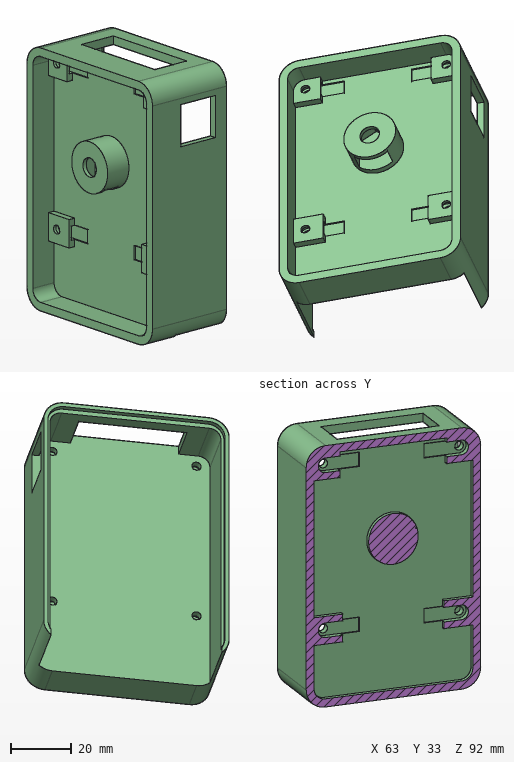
import cadquery as cq
import math

width = 63.0
depth = 33.0
height = 92.0
corner_radius = 7.0
end_wall = 3.0
inner_radius = corner_radius - end_wall
tray_width = 57.0
inner_height = height - 2 * end_wall
front_y = -depth / 2
back_y = depth / 2

tray_depth = 9.5
rear_depth = 20.3
tray_floor_y = front_y + tray_depth
partition_back_y = back_y - rear_depth

rear_width = 58.05
lid_rim = 1.5
lid_recess_depth = 1.75

window_width = 36.8
window_back_margin = 6.2

port_back_margin = 5.1
port_bottom_z = 22.1
port_top_z = 36.8

boss_diameter = 18.0
boss_z = 10.0
boss_hole_diameter = 6.7
boss_lip = 1.5
nut_width = 11.5
nut_thickness = 6.0

tab_thickness = 2.5
screw_diameter = 3.0
screw_x = 24.5
upper_screw_z = 39.0
lower_screw_z = -18.95
upper_tab_width = 9.3
lower_tab_width = 10.3
upper_tab_drop = 5.1
lower_tab_height = 9.9
insert_diameter = 5.0
insert_slot_inner_x = 11.7
insert_slot_floor_depth = 0.55
insert_slot_height = 2.0


def block(x_range, y_range, z_range):
    """Box spanning the given (low, high) ranges."""
    sizes = [high - low for low, high in (x_range, y_range, z_range)]
    lows = (x_range[0], y_range[0], z_range[0])
    return cq.Workplane("XY").box(*sizes, centered=False).translate(lows)


def rod(diameter, x, z, y_start, y_end):
    """Cylinder along +Y."""
    profile = cq.Workplane("XZ", origin=(x, y_start, z)).circle(diameter / 2)
    return profile.extrude(y_start - y_end)


def rounded_prism(x_size, z_size, radius, y_start, y_end):
    """Box along Y with its four long edges rounded."""
    prism = block((-x_size / 2, x_size / 2), (y_start, y_end), (-z_size / 2, z_size / 2))
    return prism.edges("|Y").fillet(radius)


def make_shell():
    shell = rounded_prism(width, height, corner_radius, front_y, back_y)
    tray = rounded_prism(tray_width, inner_height, inner_radius, front_y, tray_floor_y)
    return shell.cut(tray)


def cut_rear_compartment(body):
    """Hollow out behind the partition, open at the back and through the bottom wall."""
    cavity = rounded_prism(rear_width, inner_height, inner_radius, partition_back_y, back_y)
    half = rear_width / 2
    bottom_opening = block((-half, half), (partition_back_y, back_y), (-height / 2, 0))
    lid_recess = rounded_prism(
        width - 2 * lid_rim,
        height - 2 * lid_rim,
        corner_radius - lid_rim,
        back_y - lid_recess_depth,
        back_y,
    )
    return body.cut(cavity).cut(bottom_opening).cut(lid_recess)


def cut_wall_openings(body):
    """Window through the top wall and port through the +X wall."""
    window = block(
        (-window_width / 2, window_width / 2),
        (partition_back_y, back_y - window_back_margin),
        (0, height / 2),
    )
    port = block(
        (0, width / 2),
        (partition_back_y, back_y - port_back_margin),
        (port_bottom_z, port_top_z),
    )
    return body.cut(window).cut(port)


def add_boss(body):
    body = body.union(rod(boss_diameter, 0, boss_z, front_y, tray_floor_y))
    slot_front = front_y + boss_lip
    slot_back = slot_front + nut_thickness
    body = body.cut(rod(boss_hole_diameter, 0, boss_z, front_y, slot_back))
    half = nut_width / 2
    slot = block((-half, half), (slot_front, slot_back), (boss_z - boss_diameter / 2, boss_z))
    nut_across_corners = nut_width / math.cos(math.radians(30))
    nut = (
        cq.Workplane("XZ", origin=(0, slot_front, boss_z))
        .polygon(6, nut_across_corners)
        .extrude(-nut_thickness)
        .rotate((0, 0, boss_z), (0, 1, boss_z), 30)
    )
    return body.cut(slot).cut(nut)


def add_tab(body, side, screw_z, tab_width, z_range):
    """Add a tab on one side (+1 or -1) with its screw hole and side-entry slot."""
    x_wall = side * (tray_width / 2)
    x_edge = x_wall - side * tab_width
    tab_y = (tray_floor_y - tab_thickness, tray_floor_y)
    tab = block(sorted((x_wall, x_edge)), tab_y, z_range)
    tab = tab.intersect(rounded_prism(tray_width, inner_height, inner_radius, *tab_y))
    body = body.union(tab)
    slot_back = tray_floor_y + insert_slot_floor_depth
    slot_front = slot_back - insert_slot_height
    x_screw = side * screw_x
    half = insert_diameter / 2
    slot = block(
        sorted((x_screw, side * insert_slot_inner_x)),
        (slot_front, slot_back),
        (screw_z - half, screw_z + half),
    )
    slot = slot.union(rod(insert_diameter, x_screw, screw_z, slot_front, slot_back))
    return body.cut(slot).cut(rod(screw_diameter, x_screw, screw_z, front_y, partition_back_y))


result = make_shell()
result = cut_rear_compartment(result)
result = cut_wall_openings(result)
result = add_boss(result)
upper_tab_z = (upper_screw_z - upper_tab_drop, inner_height / 2)
lower_tab_z = (lower_screw_z - lower_tab_height / 2, lower_screw_z + lower_tab_height / 2)
for side in (-1, 1):
    result = add_tab(result, side, upper_screw_z, upper_tab_width, upper_tab_z)
    result = add_tab(result, side, lower_screw_z, lower_tab_width, lower_tab_z)